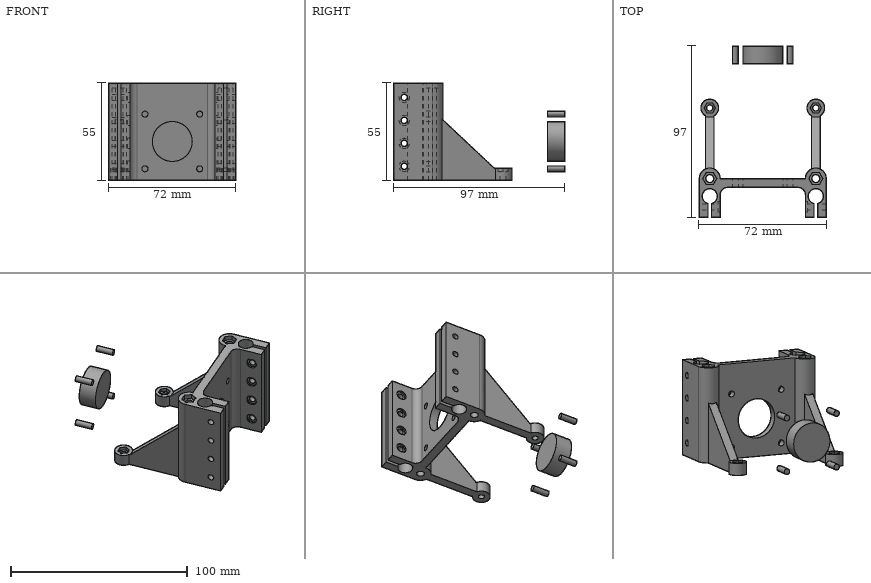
import cadquery as cq
import math

total_width = 72.0
total_depth = 97.0
height = 55.0

column_width = 11.9
column_radius = column_width / 2
column_x = (total_width - column_width) / 2
column_axis_y = 22.0
inner_face_x = column_x - column_radius
rod_y = 12.0
rod_diameter = 8.4
slot_width = 1.9
corner_radius = 4.1

plate_thickness = 5.0
plate_front_y = column_axis_y - plate_thickness

column_bolt_diameter = 4.4
column_nut_flats = 6.9
column_nut_depth = 2.7
foot_nut_flats = 5.5
foot_nut_depth = 2.0

small_bolt_diameter = 3.4
arm_width = 5.0
foot_radius = 5.0
foot_y = 62.0
foot_height = 7.0
arm_root_height = 39.8

clamp_screw_y = 6.0
clamp_screw_first_z = 8.0
clamp_screw_pitch = 13.0
clamp_screw_count = 4
clamp_head_diameter = 5.8
clamp_head_depth = 1.2

motor_z = 22.0
motor_hole_diameter = 22.6
motor_bolt_spacing = 30.9
plug_length = 10.0
plug_rear_y = total_depth

motor_bolt_places = [
    (side * motor_bolt_spacing / 2, motor_z + level * motor_bolt_spacing / 2)
    for side in (-1, 1)
    for level in (-1, 1)
]


def cylinder_along_y(x, z, diameter, rear_y, length):
    """Cylinder whose rear end lies at rear_y and which runs toward -Y."""
    return cq.Workplane("XZ", origin=(x, rear_y, z)).circle(diameter / 2).extrude(length)


def column(x):
    """Upright column with a flat front end and a round back."""
    return (
        cq.Workplane("XY")
        .moveTo(x - column_radius, 0)
        .lineTo(x + column_radius, 0)
        .lineTo(x + column_radius, column_axis_y)
        .threePointArc((x, column_axis_y + column_radius), (x - column_radius, column_axis_y))
        .close()
        .extrude(height)
    )


def cross_plate():
    """Plate between the columns, with rounded inner corners at its front."""
    corner_y = plate_front_y - corner_radius
    corner_x = inner_face_x - corner_radius
    arc_reach = corner_radius * math.sqrt(0.5)
    return (
        cq.Workplane("XY")
        .moveTo(-inner_face_x, column_axis_y)
        .lineTo(-inner_face_x, corner_y)
        .threePointArc((-corner_x - arc_reach, corner_y + arc_reach), (-corner_x, plate_front_y))
        .lineTo(corner_x, plate_front_y)
        .threePointArc((corner_x + arc_reach, corner_y + arc_reach), (inner_face_x, corner_y))
        .lineTo(inner_face_x, column_axis_y)
        .close()
        .extrude(height)
    )


def arm(x):
    """Sloping web from a column back to its round foot."""
    web = (
        cq.Workplane("YZ", origin=(x, 0, 0))
        .polyline([
            (column_axis_y, 0),
            (foot_y, 0),
            (foot_y, foot_height),
            (foot_y - foot_radius, foot_height),
            (column_axis_y, arm_root_height),
        ])
        .close()
        .extrude(arm_width / 2, both=True)
    )
    foot = cq.Workplane("XY").center(x, foot_y).circle(foot_radius).extrude(foot_height)
    return web.union(foot)


def bolt_and_nut_cut(x, y, top_z, bolt_diameter, nut_flats, nut_depth):
    """Vertical through hole with a hexagonal nut pocket sunk from top_z."""
    nut_corners = nut_flats / math.cos(math.radians(30))
    hole = cq.Workplane("XY").center(x, y).circle(bolt_diameter / 2).extrude(top_z)
    pocket = (
        cq.Workplane("XY", origin=(x, y, top_z))
        .polygon(6, nut_corners)
        .extrude(-nut_depth)
    )
    return hole.union(pocket)


def rod_clamp_cut(x):
    """Rod bore and the slot that opens it to the front."""
    bore = cq.Workplane("XY").center(x, rod_y).circle(rod_diameter / 2).extrude(height)
    slot = cq.Workplane("XY").center(x, rod_y / 2).rect(slot_width, rod_y).extrude(height)
    return bore.union(slot)


def clamp_screw_cuts(side):
    """Cross holes through one column, counterbored on the face toward the middle."""
    places = [
        (clamp_screw_y, clamp_screw_first_z + i * clamp_screw_pitch)
        for i in range(clamp_screw_count)
    ]
    inner_face = cq.Workplane("YZ", origin=(side * inner_face_x, 0, 0)).pushPoints(places)
    holes = inner_face.circle(small_bolt_diameter / 2).extrude(side * column_width)
    heads = inner_face.circle(clamp_head_diameter / 2).extrude(side * clamp_head_depth)
    return holes.union(heads)


def make_bracket():
    body = cross_plate()
    for side in (-1, 1):
        x = side * column_x
        body = body.union(column(x)).union(arm(x))
    for side in (-1, 1):
        x = side * column_x
        body = body.cut(bolt_and_nut_cut(
            x, column_axis_y, height, column_bolt_diameter, column_nut_flats, column_nut_depth))
        body = body.cut(bolt_and_nut_cut(
            x, foot_y, foot_height, small_bolt_diameter, foot_nut_flats, foot_nut_depth))
        body = body.cut(rod_clamp_cut(x))
        body = body.cut(clamp_screw_cuts(side))
    body = body.cut(cylinder_along_y(0, motor_z, motor_hole_diameter, column_axis_y, plate_thickness))
    for x, z in motor_bolt_places:
        body = body.cut(cylinder_along_y(x, z, small_bolt_diameter, column_axis_y, plate_thickness))
    return body


def make_motor_plug():
    return cylinder_along_y(0, motor_z, motor_hole_diameter, plug_rear_y, plug_length)


def make_bolt_pin(x, z):
    return cylinder_along_y(x, z, small_bolt_diameter, plug_rear_y, plug_length)


bracket = make_bracket()
motor_plug = make_motor_plug()
bolt_pins = [make_bolt_pin(x, z) for x, z in motor_bolt_places]

result = cq.Compound.makeCompound(
    [bracket.val(), motor_plug.val(), *[pin.val() for pin in bolt_pins]]
)